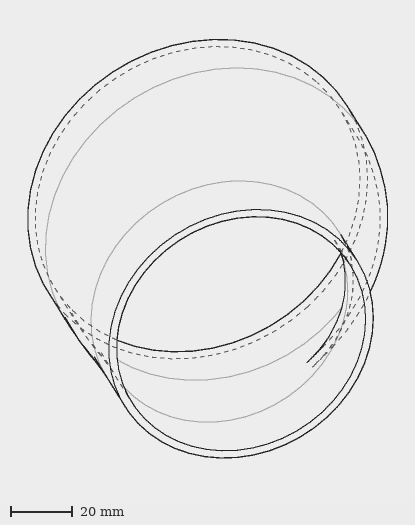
import cadquery as cq

length = 100.0
large_diameter = 114.3
large_bore = 109.2
small_diameter = 88.9
small_bore = 83.7
collar_length = 22.0

transition_length = length - 2 * collar_length
small_axis_y = (small_diameter - large_diameter) / 2
section_count = 9


def ease(t):
    """S-shaped blend from 0 to 1 with zero slope at both ends."""
    return t * t * (3 - 2 * t)


def collar(x, axis_y, diameter):
    """Straight cylinder starting at x."""
    return cq.Workplane("YZ", origin=(x, axis_y, 0)).circle(diameter / 2).extrude(collar_length)


def transition(start_diameter, end_diameter):
    """Smooth eccentric body lofted through circles that shrink and shift along X."""
    sections = []
    for i in range(section_count):
        t = i / (section_count - 1)
        blend = ease(t)
        radius = (start_diameter + (end_diameter - start_diameter) * blend) / 2
        center = cq.Vector(collar_length + transition_length * t, small_axis_y * blend, 0)
        sections.append(cq.Wire.makeCircle(radius, center, cq.Vector(1, 0, 0)))
    return cq.Workplane(cq.Solid.makeLoft(sections))


def reducer_body(start_diameter, end_diameter):
    """Solid reducer shape: large collar, transition and small collar."""
    large_collar = collar(0, 0, start_diameter)
    small_collar = collar(length - collar_length, small_axis_y, end_diameter)
    return large_collar.union(transition(start_diameter, end_diameter)).union(small_collar)


outside = reducer_body(large_diameter, small_diameter)
bore = reducer_body(large_bore, small_bore)
result = outside.cut(bore)